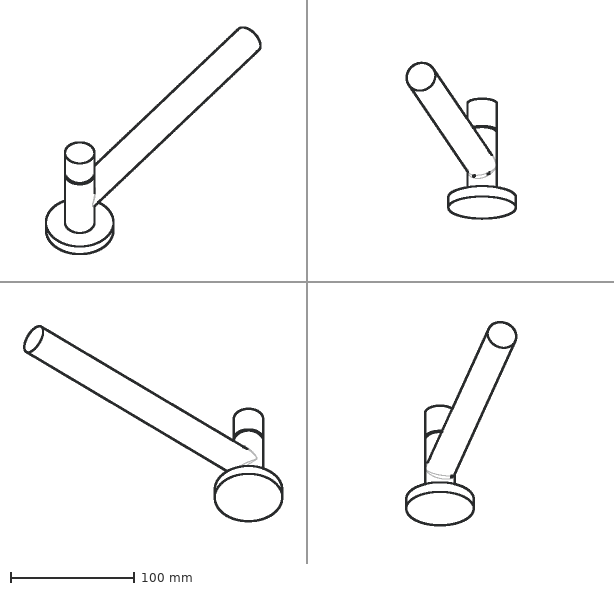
import cadquery as cq

overall_length = 256.0
overall_height = 89.5

flange_diameter = 55.0
flange_thickness = 9.0

tube_diameter = 24.0
tube_radius = tube_diameter / 2
spout_undersize = 0.05
spout_radius = tube_radius - spout_undersize
spout_axis_height = 35.0
spout_end_y = overall_length - flange_diameter / 2
blend_radius = 2.0

knob_height = 23.5
gap_height = 0.8
neck_diameter = 22.5
knob_bottom = overall_height - knob_height
post_top = knob_bottom - gap_height


def make_flange():
    """Round base plate centred on the post axis."""
    return cq.Workplane("XY").circle(flange_diameter / 2).extrude(flange_thickness)


def make_body():
    """Upright post with a horizontal spout along +Y, blended at the seam."""
    post = (
        cq.Workplane("XY")
        .workplane(offset=flange_thickness)
        .circle(tube_radius)
        .extrude(post_top - flange_thickness)
    )
    spout = (
        cq.Workplane("XZ", origin=(0, 0, spout_axis_height))
        .circle(spout_radius)
        .extrude(-spout_end_y)
    )
    joined = post.union(spout)
    seam = joined.edges("not (%LINE or %CIRCLE)")
    return seam.fillet(blend_radius)


def make_knob():
    """Cylindrical knob whose narrower neck rests on the post."""
    neck = (
        cq.Workplane("XY")
        .workplane(offset=post_top)
        .circle(neck_diameter / 2)
        .extrude(gap_height)
    )
    grip = (
        cq.Workplane("XY")
        .workplane(offset=knob_bottom)
        .circle(tube_radius)
        .extrude(knob_height)
    )
    return grip.union(neck)


flange = make_flange()
body = make_body()
knob = make_knob()

result = cq.Compound.makeCompound([flange.val(), body.val(), knob.val()])